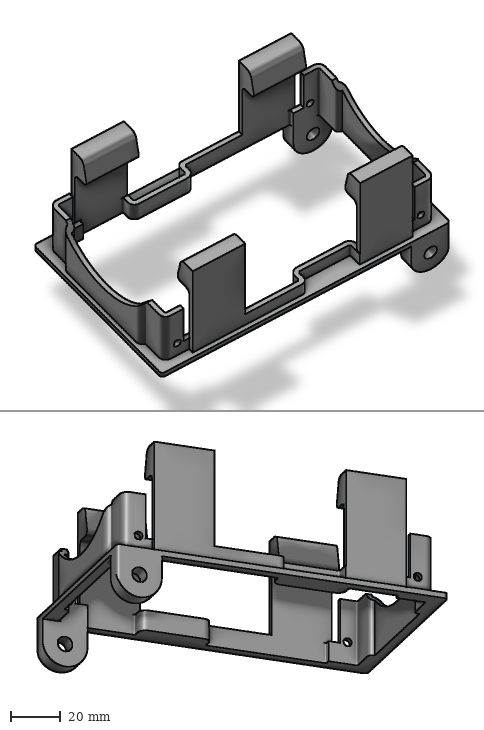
import cadquery as cq
import math

plate_width = 87.4
plate_length = 142.6
plate_thickness = 2.4
plate_corner_radius = 1.5

wall = 2.4
low_wall_height = 6.3
end_wall_height = 25.2
inner_bend_radius = 0.9
outer_bend_radius = 3.4
opening_half_width = 36.7
opening_half_length = 64.5
end_wall_start = 57.0

bay_half_width = 24.0
bay_outer_half_width = 26.8
bay_lip_radius = 2.3
bay_root_radius = 0.5
notch_radius = 36.0
notch_floor = 12.1

clip_height = 47.5
clip_start = 28.4
clip_end = 54.3
clip_inner_x = opening_half_width + wall
clip_outer_x = clip_inner_x + wall
hook_shoulder_x = 32.8
hook_tip_x = 31.2
hook_underside = 34.4
hook_top_radius = 3.4
hook_tip_height = 2.5
hook_tip_radius = 1.9
hook_root_radius = 2.4

inset_inner_x = 32.7
inset_end = 28.1
inset_bend_radius = 2.7

lug_radius = 9.7
lug_drop = 19.1
lug_thickness = plate_width / 2 - opening_half_width
lug_hole_diameter = 6.3

pin_hole_diameter = 3.4
pin_hole_y = 60.2
pin_hole_z = 7.0


def toward(start, target, distance):
    """Point at the given distance from start on the way to target."""
    fraction = distance / math.dist(start, target)
    return tuple(a + (b - a) * fraction for a, b in zip(start, target))


def rounded_outline(corners):
    """Closed outline from (x, y, radius) corners; a zero radius stays sharp."""
    outline = cq.Workplane("XY")
    for i, (x, y, radius) in enumerate(corners):
        corner = (x, y)
        before = corners[i - 1][:2]
        after = corners[(i + 1) % len(corners)][:2]
        draw_to = outline.moveTo if i == 0 else outline.lineTo
        if radius == 0:
            outline = draw_to(*corner)
            continue
        arc_start = toward(corner, before, radius)
        arc_end = toward(corner, after, radius)
        chord_middle = toward(arc_start, arc_end, math.dist(arc_start, arc_end) / 2)
        arc_middle = toward(corner, chord_middle, radius * (math.sqrt(2) - 1))
        outline = draw_to(*arc_start).threePointArc(arc_middle, arc_end)
    return outline.close()


def with_half_turn(half):
    """Complete a +X half outline with its copy turned 180 degrees about Z."""
    return half + [(-x, -y, radius) for x, y, radius in half]


def box_between(x_range, y_range, z_range):
    size = [high - low for low, high in (x_range, y_range, z_range)]
    return cq.Workplane("XY").box(*size, centered=False).translate((x_range[0], y_range[0], z_range[0]))


def make_plate():
    plate = cq.Workplane("XY").rect(plate_width, plate_length).extrude(-plate_thickness)
    lug_y = plate_length / 2 - lug_radius
    lug_z = lug_radius - lug_drop - plate_thickness
    for x_start in (-plate_width / 2, plate_width / 2 - lug_thickness):
        lug = (
            cq.Workplane("YZ", origin=(x_start, lug_y, 0))
            .moveTo(-lug_radius, 0)
            .lineTo(-lug_radius, lug_z)
            .threePointArc((0, lug_z - lug_radius), (lug_radius, lug_z))
            .lineTo(lug_radius, 0)
            .close()
            .extrude(lug_thickness)
        )
        plate = plate.union(lug)
    envelope = (
        cq.Workplane("XY")
        .rect(plate_width, plate_length)
        .extrude(-plate_thickness - lug_drop)
        .edges("|Z")
        .fillet(plate_corner_radius)
    )
    lug_holes = (
        cq.Workplane("YZ", origin=(0, lug_y, lug_z))
        .circle(lug_hole_diameter / 2)
        .extrude(plate_width, both=True)
    )
    return plate.intersect(envelope).cut(lug_holes)


def make_opening():
    """Space inside the wall, which also passes through the plate."""
    bay_end = opening_half_length + wall
    clip_pocket_end = clip_end - wall
    half = [
        (bay_half_width, -bay_end, 0),
        (bay_half_width, -opening_half_length, bay_lip_radius),
        (opening_half_width, -opening_half_length, inner_bend_radius),
        (opening_half_width, -clip_pocket_end, 0),
        (clip_inner_x, -clip_pocket_end, inner_bend_radius),
        (clip_inner_x, 0, inner_bend_radius),
        (inset_inner_x, 0, outer_bend_radius),
        (inset_inner_x, inset_end + wall, outer_bend_radius),
        (clip_inner_x, inset_end + wall, inner_bend_radius),
        (clip_inner_x, clip_pocket_end, inner_bend_radius),
        (opening_half_width, clip_pocket_end, 0),
        (opening_half_width, opening_half_length, inner_bend_radius),
        (bay_half_width, opening_half_length, bay_lip_radius),
        (bay_half_width, bay_end, 0),
    ]
    depth = plate_thickness
    return rounded_outline(with_half_turn(half)).extrude(depth + clip_height).translate((0, 0, -depth))


def make_wall_block():
    """Outside of the wall, filled solid: low along the sides, tall at the ends."""
    outer_x = opening_half_width + wall
    outer_y = opening_half_length + wall
    half = [
        (outer_x, -outer_y, outer_bend_radius),
        (outer_x, -clip_end, 0),
        (clip_outer_x, -clip_end, 0),
        (clip_outer_x, wall, inset_bend_radius),
        (inset_inner_x + wall, wall, inner_bend_radius),
        (inset_inner_x + wall, inset_end, inner_bend_radius),
        (clip_outer_x, inset_end, 0),
        (clip_outer_x, clip_end, 0),
        (outer_x, clip_end, 0),
        (outer_x, outer_y, outer_bend_radius),
    ]
    bays = (
        cq.Workplane("XY")
        .rect(2 * bay_outer_half_width, 2 * (outer_y + wall))
        .extrude(end_wall_height)
        .edges("|Z")
        .fillet(outer_bend_radius)
    )
    block = rounded_outline(with_half_turn(half)).extrude(end_wall_height).union(bays)
    root_y = (outer_y - bay_root_radius, outer_y + bay_root_radius)
    for y_low, y_high in (root_y, (-root_y[1], -root_y[0])):
        near_root = cq.selectors.BoxSelector(
            (-bay_outer_half_width - bay_root_radius, y_low, 0),
            (bay_outer_half_width + bay_root_radius, y_high, end_wall_height),
        )
        block = block.edges("|Z").edges(near_root).fillet(bay_root_radius)
    side_relief = box_between(
        (-plate_width, plate_width),
        (-end_wall_start, end_wall_start),
        (low_wall_height, end_wall_height),
    )
    notch = (
        cq.Workplane("XZ", origin=(0, 0, notch_floor + notch_radius))
        .circle(notch_radius)
        .extrude(plate_length, both=True)
    )
    pin_holes = (
        cq.Workplane("YZ")
        .pushPoints([(-pin_hole_y, pin_hole_z), (pin_hole_y, pin_hole_z)])
        .circle(pin_hole_diameter / 2)
        .extrude(plate_width, both=True)
    )
    return block.cut(side_relief).cut(notch).cut(pin_holes)


def make_clip():
    """Snap clip on the +X side at the +Y end."""
    round_middle = hook_top_radius * (1 - math.sqrt(0.5))
    root_middle = hook_root_radius * (1 - math.sqrt(0.5))
    tip_middle = hook_tip_radius * (1 - math.sqrt(0.5))
    return (
        cq.Workplane("XZ", origin=(0, clip_end, 0))
        .moveTo(clip_outer_x, 0)
        .lineTo(clip_outer_x, clip_height)
        .lineTo(hook_shoulder_x + hook_top_radius, clip_height)
        .threePointArc(
            (hook_shoulder_x + round_middle, clip_height - round_middle),
            (hook_shoulder_x, clip_height - hook_top_radius),
        )
        .lineTo(hook_tip_x, hook_underside + hook_tip_height)
        .lineTo(hook_tip_x, hook_underside + hook_tip_radius)
        .threePointArc(
            (hook_tip_x + tip_middle, hook_underside + tip_middle),
            (hook_tip_x + hook_tip_radius, hook_underside),
        )
        .lineTo(clip_inner_x - hook_root_radius, hook_underside)
        .threePointArc(
            (clip_inner_x - root_middle, hook_underside - root_middle),
            (clip_inner_x, hook_underside - hook_root_radius),
        )
        .lineTo(clip_inner_x, 0)
        .close()
        .extrude(clip_end - clip_start)
    )


frame = make_plate().union(make_wall_block()).cut(make_opening())

clip = make_clip()
clip_pair = clip.union(clip.mirror("YZ"))
result = frame.union(clip_pair).union(clip_pair.mirror("XZ"))